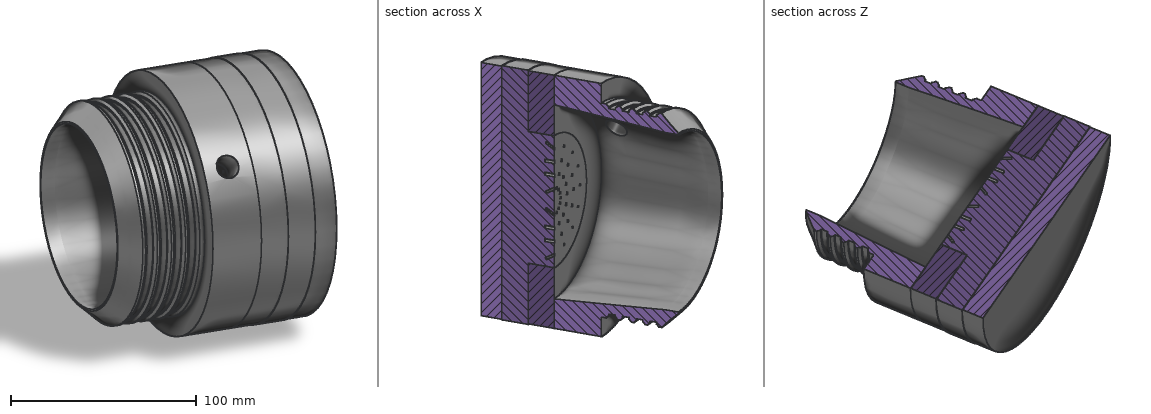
import math

import cadquery as cq

TOTAL_LENGTH = 119.8
CAP_LENGTH = 12.7
FLANGE_LENGTH = 15.9
COLLAR_LENGTH = 15.8
CHAMBER_HEAD_LENGTH = 28.6

FLANGE_FRONT = CAP_LENGTH + FLANGE_LENGTH
COLLAR_FRONT = FLANGE_FRONT + COLLAR_LENGTH
SHOULDER = COLLAR_FRONT + CHAMBER_HEAD_LENGTH

FLANGE_RADIUS = 73.0
BODY_RADIUS = 72.7
NECK_RADIUS = 61.5
GROOVE_RADIUS = 59.0
RIM_WIDTH = 1.0

MOUTH_RADIUS = 50.7
MOUTH_LENGTH = 8.2
CONE_END_RADIUS = 55.5

GROOVE_COUNT = 4
GROOVE_PITCH = 8.3
FIRST_LAND_LENGTH = 2.8
GROOVE_WIDTH = 7.0
BEVEL = 1.6
NOSE_LENGTH = 10.4

PORT_DIAMETER = 12.7
PORT_ANGLE = 34.0
PORT_STATION = COLLAR_FRONT + 14.5

FACE_RADIUS = 38.0
ORIFICES_PER_RING = 16
ORIFICE_DEPTH = 5.8
SLANT = 30.0
ORIFICE_RINGS = [
    (7.6, 0.51, -SLANT),
    (15.2, 0.7, 0.0),
    (22.8, 0.7, 0.0),
    (30.4, 0.51, SLANT),
]

FEED_RING = 2
FEED_ANGLE = 112.5

CUT_MARGIN = 1.5


def disc(radius, start, end):
    """Solid cylinder on the Y axis between two stations."""
    return cq.Workplane("XZ").workplane(offset=start).circle(radius).extrude(end - start)


def radial_direction(angle):
    """Unit vector square to the Y axis, at an angle in degrees from +X toward +Z."""
    return cq.Vector(math.cos(math.radians(angle)), 0, math.sin(math.radians(angle)))


def feed_hole():
    """Axial drill through the injector and the cap."""
    pitch_radius, radius, _ = ORIFICE_RINGS[FEED_RING]
    center = radial_direction(FEED_ANGLE) * pitch_radius
    return disc(radius, -CUT_MARGIN, COLLAR_FRONT + CUT_MARGIN).translate(center)


def orifice(pitch_radius, radius, slant, angle):
    """Drill entering the injector face; a positive slant leads it outward as it goes deeper."""
    outward = radial_direction(angle)
    tilt = math.radians(slant)
    inward_axis = outward * math.sin(tilt) + cq.Vector(0, math.cos(tilt), 0)
    entry = outward * pitch_radius + cq.Vector(0, -COLLAR_FRONT, 0)
    start = entry - inward_axis * CUT_MARGIN
    return cq.Solid.makeCylinder(radius, CUT_MARGIN + ORIFICE_DEPTH, start, inward_axis)


def make_cap():
    """Plain disc that closes the rear, pierced by the feed hole."""
    return disc(BODY_RADIUS, 0, CAP_LENGTH).cut(feed_hole())


def make_injector():
    """Flange with a round boss that fills the collar and carries the orifices on its face."""
    flange = disc(FLANGE_RADIUS, CAP_LENGTH, FLANGE_FRONT)
    boss = disc(FACE_RADIUS, FLANGE_FRONT, COLLAR_FRONT)
    drills = [
        orifice(pitch_radius, radius, slant, index * 360 / ORIFICES_PER_RING)
        for pitch_radius, radius, slant in ORIFICE_RINGS
        for index in range(ORIFICES_PER_RING)
    ]
    return flange.union(boss).cut(cq.Workplane(cq.Compound.makeCompound(drills))).cut(feed_hole())


def make_collar():
    """Ring between flange and chamber, bored to take the injector boss."""
    bore = disc(FACE_RADIUS, FLANGE_FRONT, COLLAR_FRONT)
    return disc(BODY_RADIUS, FLANGE_FRONT, COLLAR_FRONT).cut(bore)


def groove_profile(start):
    """Corner points (radius, station) of one neck groove, from its rear edge to its front edge."""
    end = start + GROOVE_WIDTH
    return [
        (NECK_RADIUS, start),
        (NECK_RADIUS - BEVEL, start + BEVEL),
        (GROOVE_RADIUS, start + BEVEL),
        (GROOVE_RADIUS, end - BEVEL),
        (NECK_RADIUS - BEVEL, end - BEVEL),
        (NECK_RADIUS, end),
    ]


def port():
    """Radial drill from the axis out through the wall of the chamber head."""
    outward = radial_direction(PORT_ANGLE)
    center = cq.Vector(0, -PORT_STATION, 0)
    return cq.Workplane(cq.Solid.makeCylinder(PORT_DIAMETER / 2, BODY_RADIUS + CUT_MARGIN, center, outward))


def make_chamber():
    """Hollow turned body: plain head, grooved neck and tapered nose."""
    profile = [(BODY_RADIUS, COLLAR_FRONT), (BODY_RADIUS, SHOULDER), (NECK_RADIUS, SHOULDER)]
    for index in range(GROOVE_COUNT):
        profile += groove_profile(SHOULDER + FIRST_LAND_LENGTH + index * GROOVE_PITCH)
    profile += [
        (NECK_RADIUS, TOTAL_LENGTH - NOSE_LENGTH),
        (MOUTH_RADIUS + RIM_WIDTH, TOTAL_LENGTH),
        (MOUTH_RADIUS, TOTAL_LENGTH),
        (MOUTH_RADIUS, TOTAL_LENGTH - MOUTH_LENGTH),
        (CONE_END_RADIUS, COLLAR_FRONT),
    ]
    points = [(radius, -station) for radius, station in profile]
    turned = cq.Workplane("XY").polyline(points).close().revolve(360, (0, 0, 0), (0, 1, 0))
    return turned.cut(port())


cap = make_cap()
injector = make_injector()
collar = make_collar()
chamber = make_chamber()

result = cq.Compound.makeCompound([cap.val(), injector.val(), collar.val(), chamber.val()])